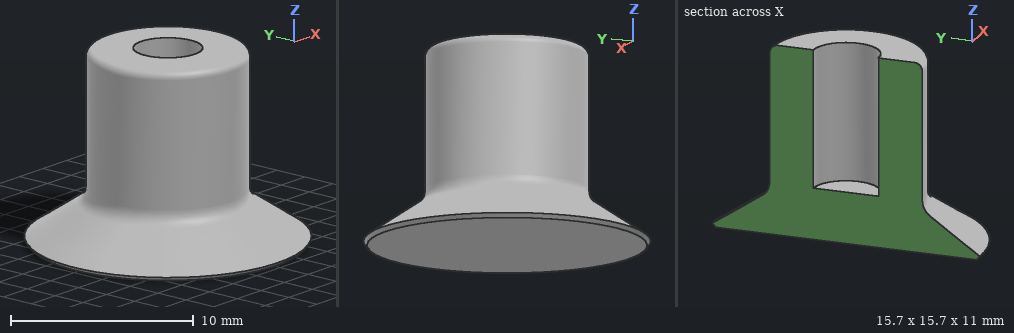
import cadquery as cq
import math

HEIGHT = 11.0
STEM_DIAMETER = 9.0
RIM_DIAMETER = 15.74
HOLE_DIAMETER = 3.8
HOLE_DEPTH = 8.0
TOP_ROUND = 0.5
NECK_ROUND = 1.0
SKIRT_ANGLE = math.radians(34)
RIM_EDGE_HEIGHT = 0.24
RIM_UNDERCUT = 0.2

stem_radius = STEM_DIAMETER / 2
rim_radius = RIM_DIAMETER / 2

neck_turn = math.pi / 2 - SKIRT_ANGLE
neck_centre_radius = stem_radius + NECK_ROUND
skirt_top_radius = neck_centre_radius - NECK_ROUND * math.cos(neck_turn)
skirt_top_z = RIM_EDGE_HEIGHT + (rim_radius - skirt_top_radius) * math.tan(SKIRT_ANGLE)
neck_centre_z = skirt_top_z + NECK_ROUND * math.sin(neck_turn)


def neck_point(turn):
    """Point on the neck arc after turning this far from the stem wall."""
    radius = neck_centre_radius - NECK_ROUND * math.cos(turn)
    z = neck_centre_z - NECK_ROUND * math.sin(turn)
    return radius, z


def make_body():
    """Solid stem flaring into a conical skirt, revolved about Z."""
    profile = (
        cq.Workplane("XZ")
        .moveTo(0, 0)
        .lineTo(rim_radius - RIM_UNDERCUT, 0)
        .lineTo(rim_radius, RIM_EDGE_HEIGHT)
        .lineTo(skirt_top_radius, skirt_top_z)
        .threePointArc(neck_point(neck_turn / 2), neck_point(0))
        .lineTo(stem_radius, HEIGHT)
        .lineTo(0, HEIGHT)
        .close()
    )
    body = profile.revolve(360, (0, 0, 0), (0, 1, 0))
    return body.faces(">Z").edges().fillet(TOP_ROUND)


def cut_hole(body):
    """Blind, flat-bottomed hole down the stem axis."""
    hole = (
        cq.Workplane("XY")
        .workplane(offset=HEIGHT - HOLE_DEPTH)
        .circle(HOLE_DIAMETER / 2)
        .extrude(HOLE_DEPTH)
    )
    return body.cut(hole)


result = cut_hole(make_body())